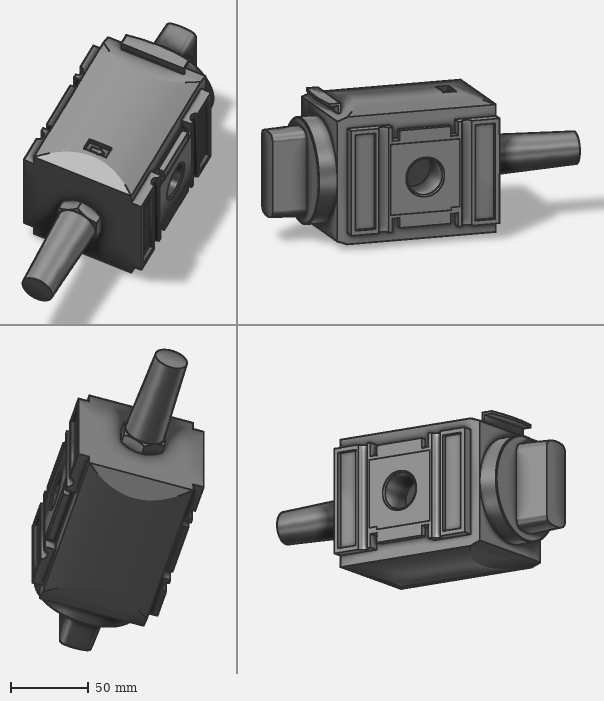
import cadquery as cq
import math


core_width = 70.4
core_length = 101.8
core_height = 85.1
crown_rise = 4.0
crown_ramp = 14.7

overall_width = 85.0
flange_height = 70.0
groove_radius = 3.4
groove_positions = (22.3, 79.5)
panel_length = 14.0
panel_height = 64.0
panel_depth = 3.0
panel_margin = 3.0
panel_corner_radius = 0.8

slot_length = 45.0
slot_floor = 26.0
tongue_length = 35.0
tongue_thickness = 4.2
tongue_top = 32.5

port_diameter = 24.0
port_mouth_diameter = 26.3
port_depth = 25.3
field_size = 47.2
field_depth = 0.2
field_step_length = 6.0
field_step_height = 2.0

window_width = 16.2
window_length = 8.5
window_position = 22.1
arrow_length = 9.7
arrow_shaft_width = 3.2
arrow_head_length = 4.6
arrow_head_width = 6.0
arrow_height = 0.8

cover_length = 7.0
cover_drop = 2.5
disc_diameter = 70.0
disc_length = 12.9
disc_chamfer = 0.6
handle_taper = 2.4
handle_width = 23.4
handle_span_radius = 29.5
handle_corner_radius = 6.0

tab_width = 45.3
tab_thickness = 1.7
tab_gap = 0.5
tab_top = 48.9
tab_side_length = 7.5
tab_middle_length = 9.5
tab_root = 40.0

hex_across_flats = 27.5
hex_length = 8.2
hex_half_sector = 30.0
hex_chamfer_angle = 30.0
cone_root_diameter = 26.3
cone_tip_diameter = 21.5
silencer_length = 66.2
overall_length = 210.7

core_half_height = core_height / 2
flange_face = overall_width / 2
flange_thickness = (overall_width - core_width) / 2
port_position = core_length / 2
cover_rear = core_length + cover_length
disc_rear = cover_rear + disc_length
handle_length = overall_length - silencer_length - disc_rear


def rearward_plane(y):
    """Plane at the given Y that extrudes towards +Y, with local y along Z."""
    return cq.Workplane(cq.Plane(origin=(0, y, 0), xDir=(-1, 0, 0), normal=(0, 1, 0)))


def left_plane(x):
    """Plane at the given X that extrudes towards +X, with local x along Y."""
    return cq.Workplane("YZ", origin=(x, 0, 0))


def make_core():
    half_width = core_width / 2
    crown_top = core_half_height + crown_rise
    section = (
        rearward_plane(0)
        .moveTo(-half_width, -core_half_height)
        .lineTo(-half_width, core_half_height)
        .threePointArc((0, crown_top), (half_width, core_half_height))
        .lineTo(half_width, -core_half_height)
        .threePointArc((0, -crown_top), (-half_width, -core_half_height))
        .close()
        .extrude(core_length)
    )
    ramped_side = (
        left_plane(-half_width)
        .polyline([
            (0, -core_half_height),
            (0, core_half_height),
            (crown_ramp, crown_top),
            (core_length - crown_ramp, crown_top),
            (core_length, core_half_height),
            (core_length, -core_half_height),
            (core_length - crown_ramp, -crown_top),
            (crown_ramp, -crown_top),
        ])
        .close()
        .extrude(core_width)
    )
    return section.intersect(ramped_side)


def make_flange():
    """Flange on the -X side, with its grooves, recesses, slots and tongues."""
    half_height = flange_height / 2
    slot_height = half_height - slot_floor
    flange = (
        left_plane(-flange_face)
        .center(port_position, 0)
        .rect(core_length, flange_height)
        .extrude(flange_thickness)
    )
    grooves = (
        cq.Workplane("XY", origin=(-flange_face, 0, -half_height))
        .pushPoints([(0, y) for y in groove_positions])
        .circle(groove_radius)
        .extrude(flange_height)
    )
    first_panel = panel_margin + panel_length / 2
    panels = (
        left_plane(-flange_face)
        .pushPoints([(first_panel, 0), (core_length - first_panel, 0)])
        .rect(panel_length, panel_height)
        .extrude(panel_depth)
        .edges("|X")
        .fillet(panel_corner_radius)
    )
    flange = flange.cut(grooves).cut(panels)
    for side in (1, -1):
        slot = (
            left_plane(-flange_face)
            .center(port_position, side * (slot_floor + slot_height / 2))
            .rect(slot_length, slot_height)
            .extrude(flange_thickness)
        )
        tongue = (
            left_plane(-flange_face)
            .center(port_position, side * (slot_floor + tongue_top) / 2)
            .rect(tongue_length, tongue_top - slot_floor)
            .extrude(tongue_thickness)
        )
        flange = flange.cut(slot).union(tongue)
    return flange


def make_port():
    """Blind port with a chamfered mouth and its square field, on the -X side."""
    half_field = field_size / 2
    front = port_position - half_field
    rear = port_position + half_field
    field = (
        left_plane(-flange_face)
        .polyline([
            (front, half_field),
            (rear, half_field),
            (rear, -half_field),
            (front + field_step_length, -half_field),
            (front + field_step_length, field_step_height - half_field),
            (front, field_step_height - half_field),
        ])
        .close()
        .extrude(field_depth)
    )
    mouth_radius = port_mouth_diameter / 2
    bore_radius = port_diameter / 2
    mouth_start = flange_face - field_depth
    mouth_end = mouth_start - (mouth_radius - bore_radius)
    bore_end = flange_face - port_depth
    bore = (
        cq.Workplane("XY", origin=(0, port_position, 0))
        .polyline([
            (-mouth_start, 0),
            (-mouth_start, mouth_radius),
            (-mouth_end, bore_radius),
            (-bore_end, bore_radius),
            (-bore_end, 0),
        ])
        .close()
        .revolve(360, (0, 0, 0), (1, 0, 0))
    )
    return field.union(bore)


def make_arrow_window():
    """Window cut from the top crown, leaving the raised arrow standing."""
    floor = cq.Workplane("XY", origin=(0, window_position, core_half_height))
    window = floor.rect(window_width, window_length).extrude(crown_rise)
    tip = arrow_length / 2
    neck = tip - arrow_head_length
    half_shaft = arrow_shaft_width / 2
    half_head = arrow_head_width / 2
    arrow = (
        floor
        .polyline([
            (-tip, half_shaft),
            (neck, half_shaft),
            (neck, half_head),
            (tip, 0),
            (neck, -half_head),
            (neck, -half_shaft),
            (-tip, -half_shaft),
        ])
        .close()
        .extrude(arrow_height)
    )
    return window.cut(arrow)


def make_cover():
    rear_half_height = core_half_height - cover_drop
    return (
        left_plane(-core_width / 2)
        .polyline([
            (core_length, -core_half_height),
            (core_length, core_half_height),
            (cover_rear, rear_half_height),
            (cover_rear, -rear_half_height),
        ])
        .close()
        .extrude(core_width)
    )


def make_disc():
    return (
        rearward_plane(cover_rear)
        .circle(disc_diameter / 2)
        .extrude(disc_length)
        .faces(">Y")
        .edges()
        .chamfer(disc_chamfer)
    )


def make_handle():
    """Drafted grip with flat sides and round ends that blend at the corners."""
    half_width = handle_width / 2
    corner_x = half_width - handle_corner_radius
    corner_distance = handle_span_radius - handle_corner_radius
    corner_z = math.sqrt(corner_distance**2 - corner_x**2)
    corner_angle = math.atan2(corner_z, corner_x)
    blend_x = handle_span_radius * math.cos(corner_angle)
    blend_z = handle_span_radius * math.sin(corner_angle)
    middle_x = corner_x + handle_corner_radius * math.cos(corner_angle / 2)
    middle_z = corner_z + handle_corner_radius * math.sin(corner_angle / 2)
    return (
        rearward_plane(disc_rear)
        .moveTo(half_width, -corner_z)
        .lineTo(half_width, corner_z)
        .threePointArc((middle_x, middle_z), (blend_x, blend_z))
        .threePointArc((0, handle_span_radius), (-blend_x, blend_z))
        .threePointArc((-middle_x, middle_z), (-half_width, corner_z))
        .lineTo(-half_width, -corner_z)
        .threePointArc((-middle_x, -middle_z), (-blend_x, -blend_z))
        .threePointArc((0, -handle_span_radius), (blend_x, -blend_z))
        .threePointArc((middle_x, -middle_z), (half_width, -corner_z))
        .close()
        .extrude(handle_length, taper=handle_taper)
    )


def make_tab():
    """Upright sheet on the cover, bent rearward and rounded at its free edge."""
    front = core_length + tab_gap
    half_width = tab_width / 2
    upright = (
        cq.Workplane("XY", origin=(0, front + tab_thickness / 2, tab_root))
        .rect(tab_width, tab_thickness)
        .extrude(tab_top - tab_root)
    )
    lip = (
        cq.Workplane("XY", origin=(0, front, tab_top - tab_thickness))
        .moveTo(-half_width, 0)
        .lineTo(half_width, 0)
        .lineTo(half_width, tab_side_length)
        .threePointArc((0, tab_middle_length), (-half_width, tab_side_length))
        .close()
        .extrude(tab_thickness)
    )
    return upright.union(lip)


def make_housing():
    flange = make_flange()
    port = make_port()
    housing = make_core().union(flange).union(flange.mirror("YZ"))
    housing = housing.cut(port).cut(port.mirror("YZ")).cut(make_arrow_window())
    return housing.union(make_cover()).union(make_disc()).union(make_handle()).union(make_tab())


def make_silencer():
    """Hexagon with both ends chamfered, and a tapering body in front of it."""
    flat_radius = hex_across_flats / 2
    corner_radius = flat_radius / math.cos(math.radians(hex_half_sector))
    chamfer_length = (corner_radius - flat_radius) * math.tan(math.radians(hex_chamfer_angle))
    hexagon = (
        rearward_plane(-hex_length)
        .polygon(6, 2 * corner_radius)
        .extrude(hex_length)
        .rotate((0, 0, 0), (0, 1, 0), hex_half_sector)
    )
    chamfer_envelope = (
        cq.Workplane("XY")
        .polyline([
            (0, 0),
            (flat_radius, 0),
            (corner_radius, -chamfer_length),
            (corner_radius, chamfer_length - hex_length),
            (flat_radius, -hex_length),
            (0, -hex_length),
        ])
        .close()
        .revolve(360, (0, 0, 0), (0, 1, 0))
    )
    cone = (
        cq.Workplane("XY")
        .polyline([
            (0, -hex_length),
            (cone_root_diameter / 2, -hex_length),
            (cone_tip_diameter / 2, -silencer_length),
            (0, -silencer_length),
        ])
        .close()
        .revolve(360, (0, 0, 0), (0, 1, 0))
    )
    return hexagon.intersect(chamfer_envelope).union(cone)


housing = make_housing()
silencer = make_silencer()
result = cq.Compound.makeCompound([housing.solids().val(), silencer.solids().val()])